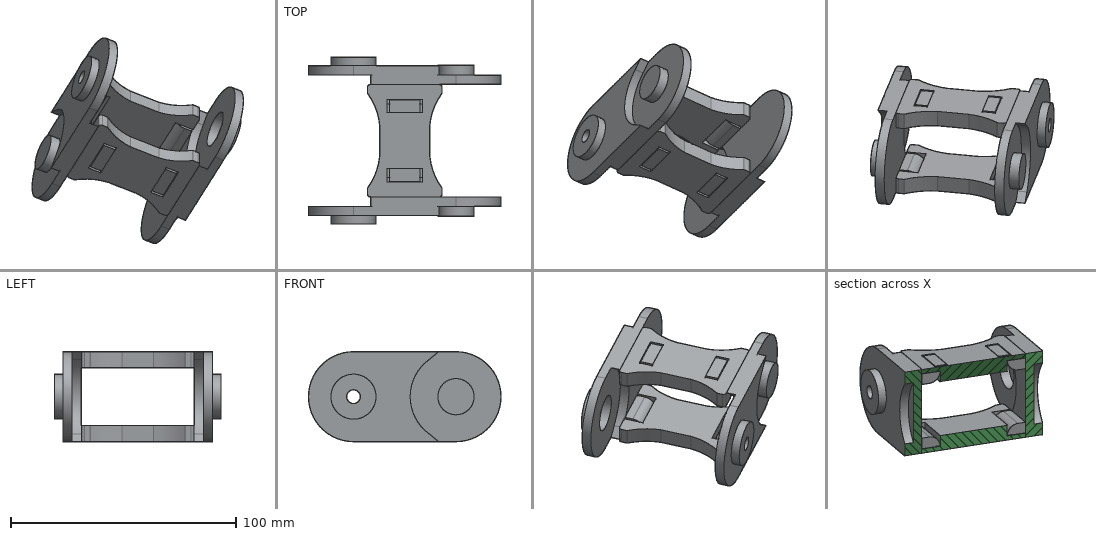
import cadquery as cq
import math

length = 85.5
height = 40.0
end_radius = height / 2
pivot_x = length / 2 - end_radius
link_inner_y = 25.0
link_outer_y = 33.3
layer_thickness = (link_outer_y - link_inner_y) / 2
link_middle_y = link_inner_y + layer_thickness

clearance_radius = 20.35
flare_start_z = 16.5
flare_end_x = 15.1

pin_radius = 8.0
pin_height = 4.45
boss_radius = 10.0
boss_height = 3.8
hole_radius = 3.0
socket_depth = pin_height

bridge_thickness = 7.3
bridge_inner_z = height / 2 - bridge_thickness
bridge_half_width = 16.6
waist_half_width = 11.2
waist_half_length = 7.1
flank_radius = 28.2
flank_end_y = 21.0
flank_corner_radius = 0.5
bridge_corner_radius = 1.3

latch_side_gap = 1.0
cavity_half_width = 9.15
cavity_end_y = 16.25
skin_thickness = 2.2
skin_z = height / 2 - skin_thickness
tongue_half_width = cavity_half_width - latch_side_gap
tongue_round = skin_z - bridge_inner_z
window_half_width = 7.8
catch_half_width = window_half_width - latch_side_gap
window_start_y = 12.4
window_end_y = 18.4
catch_end_y = 18.0


def box_between(half_width, y_start, y_end, z_start, z_end):
    """Box centred on X that spans the given Y and Z ranges."""
    return (
        cq.Workplane("XY")
        .box(2 * half_width, y_end - y_start, z_end - z_start, centered=(True, False, False))
        .translate((0, y_start, z_start))
    )


def disc(x, radius, y_start, y_end):
    """Cylinder along Y at height zero."""
    return (
        cq.Workplane("XZ", origin=(x, y_start, 0))
        .circle(radius)
        .extrude(y_start - y_end)
    )


def link_layer(side, y_start):
    """Link layer with its round end towards +X (side=1) or -X (side=-1)."""
    top = height / 2
    arc_end_x = pivot_x - math.sqrt(clearance_radius**2 - flare_start_z**2)
    return (
        cq.Workplane("XZ", origin=(0, y_start, 0))
        .moveTo(side * pivot_x, top)
        .threePointArc((side * length / 2, 0), (side * pivot_x, -top))
        .lineTo(-side * flare_end_x, -top)
        .lineTo(-side * arc_end_x, -flare_start_z)
        .threePointArc((-side * (pivot_x - clearance_radius), 0), (-side * arc_end_x, flare_start_z))
        .lineTo(-side * flare_end_x, top)
        .close()
        .extrude(-layer_thickness)
    )


def upper_tongue():
    """Tongue with a quarter-round inner edge and a catch on its outer face."""
    arm = (
        cq.Workplane("YZ", origin=(-tongue_half_width, 0, 0))
        .moveTo(link_inner_y, bridge_inner_z)
        .lineTo(cavity_end_y + tongue_round, bridge_inner_z)
        .radiusArc((cavity_end_y, skin_z), tongue_round)
        .lineTo(link_inner_y, skin_z)
        .close()
        .extrude(2 * tongue_half_width)
    )
    catch = box_between(catch_half_width, window_start_y, catch_end_y, skin_z, height / 2)
    return arm.union(catch)


def make_link():
    """Link on the +Y side with its pin, hollow boss and two tongues."""
    boss_outer_y = link_outer_y + boss_height
    link = link_layer(1, link_inner_y).union(link_layer(-1, link_middle_y))
    link = link.union(disc(pivot_x, pin_radius, link_middle_y, link_middle_y + pin_height))
    link = link.union(disc(-pivot_x, boss_radius, link_outer_y, boss_outer_y))
    link = link.cut(disc(-pivot_x, pin_radius, link_middle_y, link_middle_y + socket_depth))
    link = link.cut(disc(-pivot_x, hole_radius, link_middle_y, boss_outer_y))
    tongue = upper_tongue()
    return link.union(tongue).union(tongue.mirror("XY"))


def flank_corners():
    """Selector for the four upright edges where a flank meets a full-width end."""
    middle_z = bridge_inner_z + bridge_thickness / 2
    reach = flank_corner_radius
    selector = None
    for side_x in (-bridge_half_width, bridge_half_width):
        for side_y in (-flank_end_y, flank_end_y):
            corner = cq.selectors.BoxSelector(
                (side_x - reach, side_y - reach, middle_z - reach),
                (side_x + reach, side_y + reach, middle_z + reach),
            )
            selector = corner if selector is None else selector + corner
    return selector


def bridge_blank():
    """Waisted plate with a straight middle, concave flanks and full-width ends."""
    return (
        cq.Workplane("XY", origin=(0, 0, bridge_inner_z))
        .moveTo(-bridge_half_width, link_inner_y)
        .lineTo(bridge_half_width, link_inner_y)
        .lineTo(bridge_half_width, flank_end_y)
        .radiusArc((waist_half_width, waist_half_length), -flank_radius)
        .lineTo(waist_half_width, -waist_half_length)
        .radiusArc((bridge_half_width, -flank_end_y), -flank_radius)
        .lineTo(bridge_half_width, -link_inner_y)
        .lineTo(-bridge_half_width, -link_inner_y)
        .lineTo(-bridge_half_width, -flank_end_y)
        .radiusArc((-waist_half_width, -waist_half_length), -flank_radius)
        .lineTo(-waist_half_width, waist_half_length)
        .radiusArc((-bridge_half_width, flank_end_y), -flank_radius)
        .close()
        .extrude(bridge_thickness)
        .edges("|Z and (>Y or <Y)")
        .fillet(bridge_corner_radius)
        .edges(flank_corners())
        .fillet(flank_corner_radius)
    )


def make_bridge():
    """Upper bridge with a latch cavity and window at each end."""
    cavity = box_between(cavity_half_width, cavity_end_y, link_inner_y, bridge_inner_z, skin_z)
    window = box_between(window_half_width, window_start_y, window_end_y, skin_z, height / 2)
    latch = cavity.union(window)
    return bridge_blank().cut(latch).cut(latch.mirror("XZ"))


link = make_link()
links = [link.val(), link.mirror("XZ").val()]

bridge = make_bridge()
bridges = [bridge.val(), bridge.mirror("XY").val()]

result = cq.Compound.makeCompound([*links, *bridges])